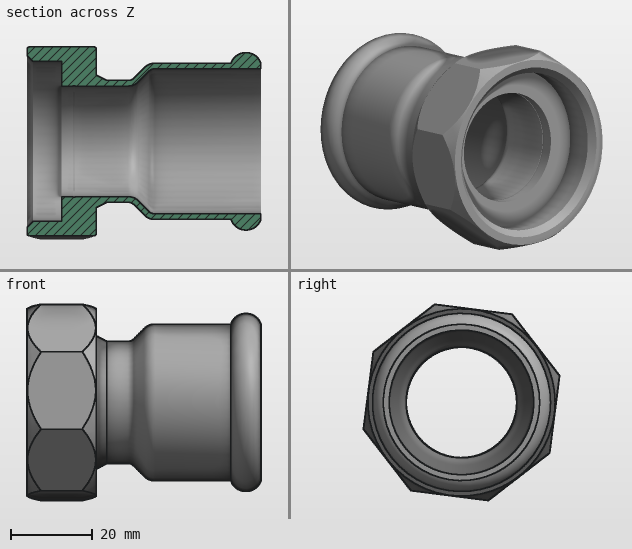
import cadquery as cq
import math

nut_length = 17.0
nut_across_flats = 46.0
nut_turn = -7.3
nut_face_diameter = 45.8
nut_chamfer_angle = 30.0
nut_bore_diameter = 39.0
nut_mouth_diameter = 42.0
nut_mouth_depth = 1.5
seat_depth = 8.5
nut_sides = 8

overall_length = 57.3
bore_diameter = 27.0
neck_diameter = 30.0
socket_diameter = 38.4
wall = (neck_diameter - bore_diameter) / 2
flare_end = 19.5
flare_angle = 27.5
neck_end = 24.9
neck_bend_radius = 1.75
shoulder_radius = 3.5
shoulder_angle = 45.0
bead_diameter = 43.6
bead_radius = 3.9
bead_end_offset = 3.7

washer_thickness = 2.8
groove_width = 0.5
groove_depth = 0.1

neck_r = neck_diameter / 2
socket_r = socket_diameter / 2
bore_r = bore_diameter / 2
bead_x = overall_length - bead_end_offset


def revolve_about_x(profile):
    """Turn a closed (x, radius) profile into a solid around the X axis."""
    return profile.close().revolve(360, (0, 0, 0), (1, 0, 0))


def disc(diameter, start, length):
    """A cylinder on the X axis."""
    return cq.Workplane("YZ", origin=(start, 0, 0)).circle(diameter / 2).extrude(length)


def on_arc(center, radius, degrees):
    """Point on a circle, measured from the +X direction toward larger radius."""
    angle = math.radians(degrees)
    return (center[0] + radius * math.cos(angle), center[1] + radius * math.sin(angle))


def make_nut():
    corner_diameter = nut_across_flats / math.cos(math.pi / nut_sides)
    prism = cq.Workplane("YZ").polygon(nut_sides, corner_diameter).extrude(nut_length)
    prism = prism.rotate((0, 0, 0), (1, 0, 0), 180 / nut_sides + nut_turn)
    face_r = nut_face_diameter / 2
    middle = nut_length / 2
    peak_r = face_r + middle * math.tan(math.radians(nut_chamfer_angle))
    double_cone = revolve_about_x(
        cq.Workplane("XY")
        .moveTo(0, 0)
        .lineTo(0, face_r)
        .lineTo(middle, peak_r)
        .lineTo(nut_length, face_r)
        .lineTo(nut_length, 0)
    )
    return prism.intersect(double_cone)


def make_nut_cavity():
    mouth_r = nut_mouth_diameter / 2
    cavity_r = nut_bore_diameter / 2
    return revolve_about_x(
        cq.Workplane("XY")
        .moveTo(0, 0)
        .lineTo(0, mouth_r)
        .lineTo(nut_mouth_depth, cavity_r)
        .lineTo(seat_depth, cavity_r)
        .lineTo(seat_depth, 0)
    )


def draw_shoulder(profile, offset):
    """Add the S-shaped neck-to-socket shoulder, moved inward by offset, and return the profile."""
    bend = neck_bend_radius + offset
    crown = shoulder_radius - offset
    bend_center = (neck_end, neck_r + neck_bend_radius)
    steep = math.radians(shoulder_angle)
    cone_rise = socket_r - neck_r - (neck_bend_radius + shoulder_radius) * (1 - math.cos(steep))
    cone_run = cone_rise / math.tan(steep)
    crown_x = neck_end + (neck_bend_radius + shoulder_radius) * math.sin(steep) + cone_run
    crown_center = (crown_x, socket_r - shoulder_radius)
    return (
        profile
        .lineTo(*on_arc(bend_center, bend, -90))
        .threePointArc(
            on_arc(bend_center, bend, -90 + shoulder_angle / 2),
            on_arc(bend_center, bend, -90 + shoulder_angle),
        )
        .lineTo(*on_arc(crown_center, crown, 90 + shoulder_angle))
        .threePointArc(
            on_arc(crown_center, crown, 90 + shoulder_angle / 2),
            on_arc(crown_center, crown, 90),
        )
    )


def make_body():
    flare_length = flare_end - nut_length
    flare_r = neck_r + flare_length * math.tan(math.radians(flare_angle))
    profile = (
        cq.Workplane("XY")
        .moveTo(nut_length, 0)
        .lineTo(nut_length, flare_r)
        .lineTo(flare_end, neck_r)
    )
    profile = draw_shoulder(profile, 0)
    return revolve_about_x(profile.lineTo(bead_x, socket_r).lineTo(bead_x, 0))


def make_bead():
    bead_start = bead_x - bead_radius
    center_r = bead_diameter / 2 - bead_radius
    end_face_r = center_r + math.sqrt(bead_radius**2 - bead_end_offset**2)
    return revolve_about_x(
        cq.Workplane("XY")
        .moveTo(bead_start, 0)
        .lineTo(bead_start, center_r)
        .threePointArc((bead_x, bead_diameter / 2), (overall_length, end_face_r))
        .lineTo(overall_length, 0)
    )


def make_bore():
    """The through bore, which follows the outside at a constant wall thickness."""
    profile = cq.Workplane("XY").moveTo(0, 0).lineTo(0, bore_r)
    profile = draw_shoulder(profile, wall)
    inner_socket_r = socket_r - wall
    return revolve_about_x(profile.lineTo(overall_length, inner_socket_r).lineTo(overall_length, 0))


def make_washer_groove():
    return disc(bore_diameter + 2 * groove_depth, seat_depth + washer_thickness, groove_width)


result = (
    make_nut()
    .union(make_body())
    .union(make_bead())
    .cut(make_nut_cavity())
    .cut(make_bore())
    .cut(make_washer_groove())
)